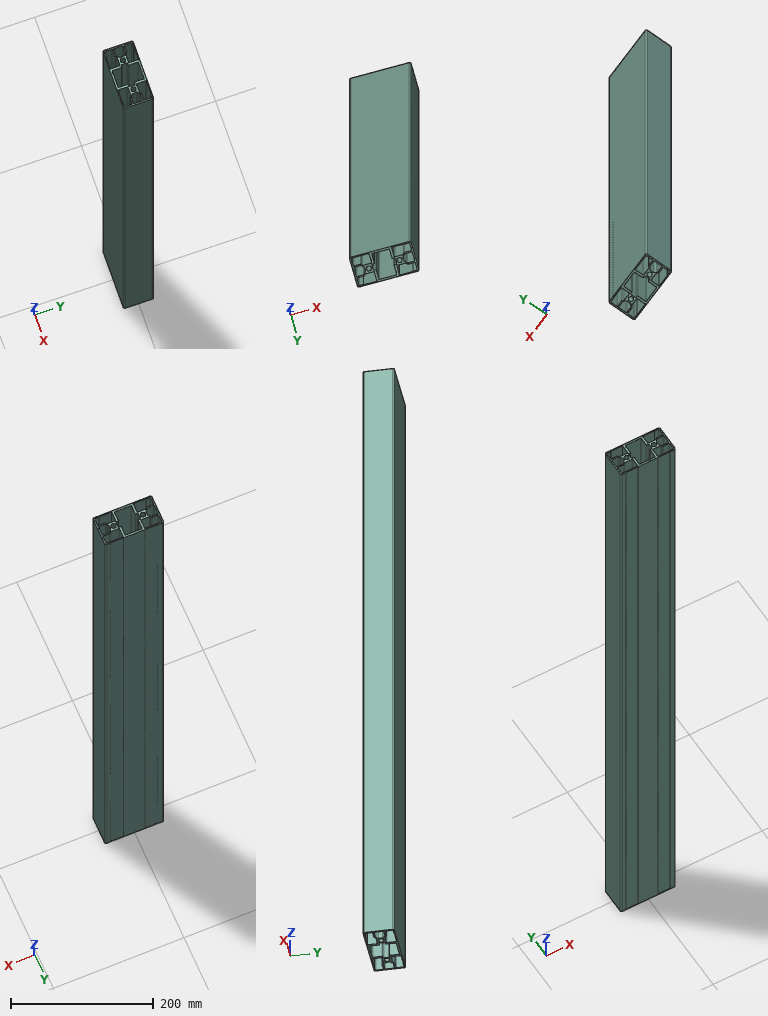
import cadquery as cq

width = 90.0
depth = 45.0
length = 1000.0
corner_radius = 2.5

side_wall = 2.0
end_wall = 2.3
cover_wall = 1.6
central_wall = 3.0
web_wall = 3.5
rib_wall = 2.0
core_wall = 2.0

chamber_radius = 0.8
central_half_width = 13.0
cover_end_x = 36.0

core_x = width / 4
core_bore = 7.2
core_half_height = 6.5
core_shoulder_x = 30.0
rib_flare = 2.0

channel_half_height = 7.0
channel_floor_half_height = 3.0
channel_taper = 3.5

relief_half_height = 4.5

inner_x = width / 2 - end_wall
inner_y = depth / 2 - side_wall
cover_y = depth / 2 - cover_wall
central_y = depth / 2 - central_wall
web_x = central_half_width + web_wall
rib_y = channel_half_height + rib_wall
core_half_width = core_bore / 2 + core_wall
channel_floor_x = core_x + core_half_width
relief_x = core_x - core_half_width


def mirrored(points, sign_x, sign_y):
    """Outline reflected by the given signs."""
    return [(sign_x * x, sign_y * y) for x, y in points]


def prism(points):
    """Full-length prism on a closed outline."""
    return cq.Workplane("XY").polyline(points).close().extrude(length)


def rounded_prism(points):
    """Full-length prism with rounded lengthwise edges."""
    return prism(points).edges("|Z").fillet(chamber_radius)


def central_chamber():
    """Large middle chamber with a shallow relief in both webs."""
    right_half = [
        (central_half_width, central_y),
        (central_half_width, relief_half_height),
        (relief_x, relief_half_height),
        (relief_x, -relief_half_height),
        (central_half_width, -relief_half_height),
        (central_half_width, -central_y),
    ]
    left_half = mirrored(reversed(right_half), -1, 1)
    return rounded_prism(right_half + left_half)


def corner_chamber(sign_x, sign_y):
    """Chamber between web, core, rib and outer walls, with a thinner cover wall next to the web."""
    outline = [
        (inner_x, inner_y),
        (web_x, inner_y),
        (web_x, core_half_height),
        (core_shoulder_x, core_half_height),
        (core_shoulder_x + rib_flare, rib_y),
        (inner_x, rib_y),
    ]
    recess_start_y = inner_y - chamber_radius
    cover_recess = [
        (web_x, recess_start_y),
        (web_x, cover_y),
        (cover_end_x, cover_y),
        (cover_end_x, recess_start_y),
    ]
    chamber = rounded_prism(mirrored(outline, sign_x, sign_y))
    return chamber.union(prism(mirrored(cover_recess, sign_x, sign_y)))


def side_channel(sign_x):
    """Closed channel between the ribs, from the short outer wall to the core."""
    outline = [
        (inner_x, channel_half_height),
        (channel_floor_x + channel_taper, channel_half_height),
        (channel_floor_x, channel_floor_half_height),
        (channel_floor_x, -channel_floor_half_height),
        (channel_floor_x + channel_taper, -channel_half_height),
        (inner_x, -channel_half_height),
    ]
    return rounded_prism(mirrored(outline, sign_x, 1))


def screw_bore(sign_x):
    """Round bore along the whole core."""
    return cq.Workplane("XY").center(sign_x * core_x, 0).circle(core_bore / 2).extrude(length)


bar = cq.Workplane("XY").rect(width, depth).extrude(length)
bar = bar.edges("|Z").fillet(corner_radius)
bar = bar.cut(central_chamber())

for sign_x in (-1, 1):
    bar = bar.cut(side_channel(sign_x))
    bar = bar.cut(screw_bore(sign_x))
    for sign_y in (-1, 1):
        bar = bar.cut(corner_chamber(sign_x, sign_y))

result = bar